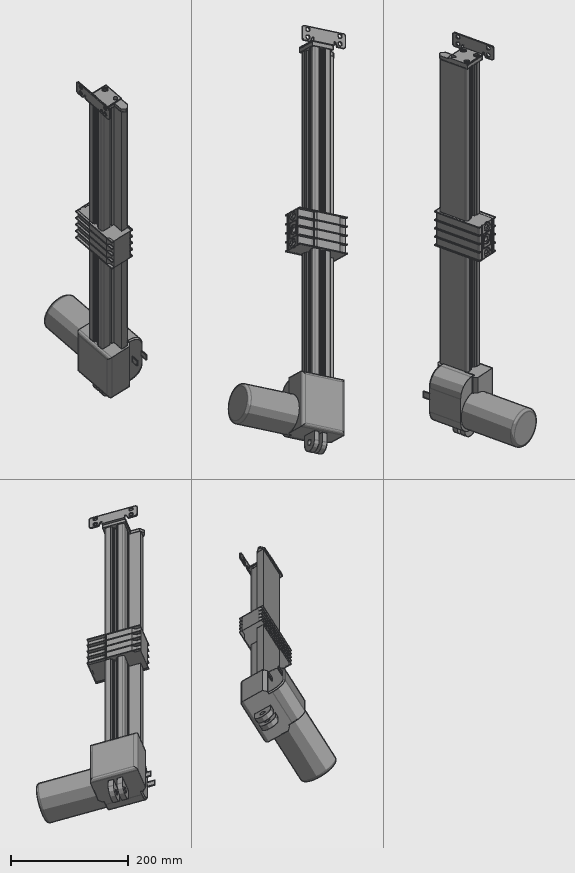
import cadquery as cq

OVERALL_X = 190.5
OVERALL_Y = 82.72
OVERALL_Z = 754.91

FRONT_Y = -24.8
BACK_Y = FRONT_Y + OVERALL_Y

CARRIAGE_HALF_X = 47.4
CARRIAGE_Z = 359.6
CARRIAGE_HEIGHT = 66.6
CARRIAGE_FRONT_Y = -22.8
CARRIAGE_BACK_Y = 20.9
CARRIAGE_BACK_FILLET = 4.5
FIN_COUNT = 5
FIN_THICKNESS = 1.6
FIN_BACK_OVERHANG = 2.4
FRONT_RECESS = 5.0
PAD_CENTRE_X = 10.3
PAD_HALF_X = 22.8
PAD_BLEND_X = 7.2
PAD_INSET = 0.6
END_SCREW_SPACING = 24.8
END_CENTRE_BORE = 17.88
END_CENTRE_HOLE = 9.53
END_SCREW_BORE = 15.88
END_SCREW_HOLE = 7.62
END_BORE_DEPTH = 3.0
END_HOLE_DEPTH = 12.0
END_PANEL_HALF_Y = 14.2
END_PANEL_GROOVE = 1.2
END_POCKET_HALF_Y = 10.2
END_POCKET_HALF_Z = 14.0
END_POCKET_DEPTH = 1.2

GEARBOX_HALF_X = 42.6
GEARBOX_Z = 32.2
GEARBOX_TOP = 133.5
GEARBOX_FRONT_TOP = 132.0
GEARBOX_BACK_Y = 26.0
GEARBOX_BEVEL = 5.7
REAR_HALF_X = 34.0
REAR_BLEND = 6.0
REAR_TOP_RADIUS = 30.0
REAR_BOTTOM_RADIUS = 25.0
REAR_EDGE_CHAMFER = 2.5

MOTOR_DIAMETER = 69.85
MOTOR_Y = 21.4
MOTOR_Z = GEARBOX_Z + MOTOR_DIAMETER / 2
MOTOR_END_X = CARRIAGE_HALF_X - OVERALL_X
MOTOR_FILLET = 4.8

TAB_Y = (54.3, 33.8)
TAB_THICKNESS = 2.0
TAB_Z = 84.5
TAB_HEIGHT = 12.0

LUG_RADIUS = 15.88
LUG_Y = 2.0
LUG_HOLE = 10.16
LUG_THICKNESS = 9.53
LUG_GAP = 6.4

RAIL_HALF_X = 18.0
RAIL_HALF_Y = 19.2
RAIL_FILLET = 3.5
RAIL_WING_X = 38.6
RAIL_WING_FRONT_Y = 6.5
SLIT_WIDTH = 3.6
SIDE_GROOVES = ((19.0, 1.5), (9.0, 4.5))
FRONT_GROOVES = ((12.5, 1.5), (7.8, 4.0), (3.0, 7.0))

CAP_Z = 723.7
CAP_THICKNESS = 7.2
CAP_HALF_X = 20.6
CAP_HALF_Y = 21.2
CAP_WING_X = 42.8
CAP_WING_FRONT_Y = 5.9
CAP_WING_CHAMFER = 6.0

SHEET = 2.4
FLANGE_HALF_X = 20.2
BRACKET_HALF_X = 42.9
BRACKET_EAR_Z = 728.6
BRACKET_RELIEF_Z = 737.0
BRACKET_RELIEF_X = 23.0
BRACKET_EAR_INNER_X = 26.5
BRACKET_CORNER = 2.5
BRACKET_HOLE = 7.8
BRACKET_HOLE_X = 32.0
BRACKET_HOLE_Z = (OVERALL_Z - 5.6, OVERALL_Z - 19.5)
SCREW_OFFSET = 13.7
SCREW_BORE = 10.0
SCREW_HOLE = 4.98
PLAIN_HOLE = 7.0
SCREW_HOLE_DEPTH = 6.0


def box(x0, x1, y0, y1, z0, z1):
    """Box given by its limits along each axis."""
    return cq.Workplane("XY").box(x1 - x0, y1 - y0, z1 - z0, centered=False).translate((x0, y0, z0))


def cylinder_x(diameter, x0, x1, y, z):
    """Cylinder along X."""
    plane = cq.Workplane("YZ", origin=(x0, y, z))
    return plane.circle(diameter / 2).extrude(x1 - x0)


def cylinder_z(diameter, x, y, z0, z1):
    """Cylinder along Z."""
    return cq.Workplane("XY", origin=(x, y, z0)).circle(diameter / 2).extrude(z1 - z0)


def make_rail():
    """Grooved column with a wing along its +X side, split by a slit along X."""
    z0 = GEARBOX_FRONT_TOP
    z1 = CAP_Z
    rail = box(-RAIL_HALF_X, RAIL_HALF_X, -RAIL_HALF_Y, RAIL_HALF_Y, z0, z1)
    rail = rail.edges("|Z").fillet(RAIL_FILLET)
    rail = rail.union(box(0, RAIL_WING_X, RAIL_WING_FRONT_Y, RAIL_HALF_Y, z0, z1))
    for width, depth in SIDE_GROOVES:
        rail = rail.cut(box(-RAIL_HALF_X, depth - RAIL_HALF_X, -width / 2, width / 2, z0, z1))
    for width, depth in FRONT_GROOVES:
        rail = rail.cut(box(-width / 2, width / 2, -RAIL_HALF_Y, depth - RAIL_HALF_Y, z0, z1))
    return rail.cut(box(-RAIL_HALF_X, RAIL_HALF_X, -SLIT_WIDTH / 2, SLIT_WIDTH / 2, z0, z1))


def make_gearbox():
    """Bevelled front box with a narrower rounded housing behind it."""
    front = box(-GEARBOX_HALF_X, GEARBOX_HALF_X, FRONT_Y, GEARBOX_BACK_Y, GEARBOX_Z, GEARBOX_FRONT_TOP)
    front = front.faces("<Y").edges().fillet(GEARBOX_BEVEL)
    front = front.faces(">Y").edges("|Z").chamfer(REAR_BLEND)
    rear = box(-REAR_HALF_X, REAR_HALF_X, RAIL_HALF_Y, BACK_Y, GEARBOX_Z, GEARBOX_TOP)
    rear = rear.faces(">Y").edges(">Z").fillet(REAR_TOP_RADIUS)
    rear = rear.edges("|X").edges("<Z").edges(">Y").fillet(REAR_BOTTOM_RADIUS)
    rear = rear.faces(">X").edges(">Y").chamfer(REAR_EDGE_CHAMFER)
    return front.union(rear)


def make_motor():
    """Round motor with a rounded free end."""
    motor = cylinder_x(MOTOR_DIAMETER, MOTOR_END_X, 0, MOTOR_Y, MOTOR_Z)
    return motor.faces("<X").edges().fillet(MOTOR_FILLET)


def make_tab(y):
    """Flat terminal tab reaching to the +X end."""
    half = TAB_THICKNESS / 2
    z0 = TAB_Z - TAB_HEIGHT / 2
    return box(0, CARRIAGE_HALF_X, y - half, y + half, z0, z0 + TAB_HEIGHT)


def make_lug(x0):
    """Round-ended clevis lug with a cross hole."""
    x1 = x0 + LUG_THICKNESS
    lug = cylinder_x(2 * LUG_RADIUS, x0, x1, LUG_Y, LUG_RADIUS)
    lug = lug.union(box(x0, x1, LUG_Y - LUG_RADIUS, LUG_Y + LUG_RADIUS, LUG_RADIUS, GEARBOX_Z))
    return lug.cut(cylinder_x(LUG_HOLE, x0, x1, LUG_Y, LUG_RADIUS))


def make_carriage():
    """Finned block around the rail with a raised front pad."""
    z0 = CARRIAGE_Z
    z1 = CARRIAGE_Z + CARRIAGE_HEIGHT
    end = CARRIAGE_HALF_X
    recess_y = CARRIAGE_FRONT_Y + FRONT_RECESS
    block = box(-end, end, recess_y, CARRIAGE_BACK_Y, z0, z1)
    block = block.faces(">Y").edges("|Z").fillet(CARRIAGE_BACK_FILLET)

    pad_y = CARRIAGE_FRONT_Y + PAD_INSET
    pad_depth = recess_y - pad_y
    foot = PAD_HALF_X + PAD_BLEND_X
    blend_radius = (PAD_BLEND_X**2 + pad_depth**2) / (2 * pad_depth)
    pad = box(PAD_CENTRE_X - foot, PAD_CENTRE_X + foot, pad_y, recess_y, z0, z1)
    for blend_x in (PAD_CENTRE_X - foot, PAD_CENTRE_X + foot):
        pad = pad.cut(cylinder_z(2 * blend_radius, blend_x, recess_y - blend_radius, z0, z1))
    block = block.union(pad)

    pitch = (CARRIAGE_HEIGHT - FIN_THICKNESS) / (FIN_COUNT - 1)
    for index in range(FIN_COUNT):
        fin_z = z0 + index * pitch
        fin_back = CARRIAGE_BACK_Y + FIN_BACK_OVERHANG
        block = block.union(box(-end, end, CARRIAGE_FRONT_Y, fin_back, fin_z, fin_z + FIN_THICKNESS))

    mid_z = (z0 + z1) / 2
    for side in (-1, 1):
        groove_y = side * END_PANEL_HALF_Y
        half = END_PANEL_GROOVE / 2
        block = block.cut(box(-end, -end + END_PANEL_GROOVE, groove_y - half, groove_y + half, z0, z1))
        screw_z = mid_z + side * END_SCREW_SPACING
        block = block.cut(cylinder_x(END_SCREW_BORE, -end, -end + END_BORE_DEPTH, 0, screw_z))
        block = block.cut(cylinder_x(END_SCREW_HOLE, -end, -end + END_HOLE_DEPTH, 0, screw_z))
    block = block.cut(
        box(
            -end,
            -end + END_POCKET_DEPTH,
            -END_POCKET_HALF_Y,
            END_POCKET_HALF_Y,
            mid_z - END_POCKET_HALF_Z,
            mid_z + END_POCKET_HALF_Z,
        )
    )
    block = block.cut(cylinder_x(END_CENTRE_BORE, -end, -end + END_BORE_DEPTH, 0, mid_z))
    return block.cut(cylinder_x(END_CENTRE_HOLE, -end, -end + END_HOLE_DEPTH, 0, mid_z))


def make_cap():
    """End cap following the rail outline."""
    z1 = CAP_Z + CAP_THICKNESS
    wing = box(0, CAP_WING_X, CAP_WING_FRONT_Y, CAP_HALF_Y, CAP_Z, z1)
    wing = wing.faces(">X").edges("|Z").chamfer(CAP_WING_CHAMFER)
    return box(-CAP_HALF_X, CAP_HALF_X, -CAP_HALF_Y, CAP_HALF_Y, CAP_Z, z1).union(wing)


def make_bracket():
    """Sheet angle: flat flange on the cap and an upright plate with two ears."""
    flange_z = CAP_Z + CAP_THICKNESS
    flange = box(-FLANGE_HALF_X, FLANGE_HALF_X, FRONT_Y, CAP_HALF_Y, flange_z, flange_z + SHEET)
    plate = box(-BRACKET_HALF_X, BRACKET_HALF_X, FRONT_Y, FRONT_Y + SHEET, BRACKET_EAR_Z, OVERALL_Z)
    plate = plate.edges("|Y").chamfer(BRACKET_CORNER)
    notch = (
        cq.Workplane("XZ", origin=(0, FRONT_Y + SHEET, 0))
        .moveTo(-BRACKET_EAR_INNER_X, BRACKET_EAR_Z)
        .lineTo(-BRACKET_RELIEF_X, BRACKET_RELIEF_Z)
        .lineTo(-FLANGE_HALF_X, BRACKET_RELIEF_Z)
        .lineTo(-FLANGE_HALF_X, flange_z)
        .lineTo(FLANGE_HALF_X, flange_z)
        .lineTo(FLANGE_HALF_X, BRACKET_RELIEF_Z)
        .lineTo(BRACKET_RELIEF_X, BRACKET_RELIEF_Z)
        .lineTo(BRACKET_EAR_INNER_X, BRACKET_EAR_Z)
        .close()
        .extrude(SHEET)
    )
    hole_points = [(side * BRACKET_HOLE_X, z) for side in (-1, 1) for z in BRACKET_HOLE_Z]
    holes = (
        cq.Workplane("XZ", origin=(0, FRONT_Y + SHEET, 0))
        .pushPoints(hole_points)
        .circle(BRACKET_HOLE / 2)
        .extrude(SHEET)
    )
    return flange.union(plate.cut(notch).cut(holes))


def drill_cap(body):
    """Three counterbored screw holes and a plain one at the +X +Y corner."""
    cap_top = CAP_Z + CAP_THICKNESS
    top = cap_top + SHEET
    floor = cap_top - SCREW_HOLE_DEPTH
    for x in (-SCREW_OFFSET, SCREW_OFFSET):
        for y in (-SCREW_OFFSET, SCREW_OFFSET):
            if x > 0 and y > 0:
                body = body.cut(cylinder_z(PLAIN_HOLE, x, y, floor, top))
            else:
                body = body.cut(cylinder_z(SCREW_HOLE, x, y, floor, top))
                body = body.cut(cylinder_z(SCREW_BORE, x, y, cap_top, top))
    return body


result = make_gearbox().union(make_motor()).union(make_rail())
for tab_y in TAB_Y:
    result = result.union(make_tab(tab_y))
for lug_x in (-LUG_GAP / 2 - LUG_THICKNESS, LUG_GAP / 2):
    result = result.union(make_lug(lug_x))
result = result.union(make_carriage()).union(make_cap()).union(make_bracket())
result = drill_cap(result)